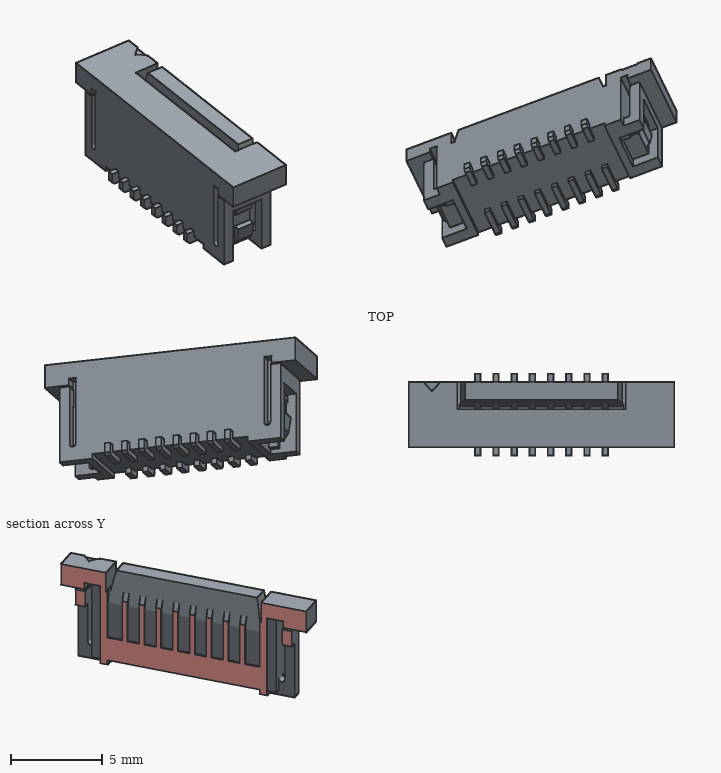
import cadquery as cq
import math

head_length = 14.6
body_depth = 3.59
top_z = 5.75
head_bottom_z = 4.44
core_bottom_z = 0.32
foot_bottom_z = 0.05
foot_inner_x = 4.53

arm_outer_x = 6.44
arm_back_y = 1.37
arm_top_z = 4.35
arm_slot_outer_x = 5.85
arm_slot_inner_x = 5.49
arm_slot_bottom_z = 0.86
notch_outer_x = 5.9
notch_top_z = 4.83

window_front_y = -1.18
window_back_y = 0.76
window_top_z = 3.37
pocket_back_y = 0.41
pocket_floor_x = 4.96

clip_clearance = 0.09
clip_front_y = window_front_y + clip_clearance
clip_back_y = pocket_back_y - clip_clearance
clip_face_x = 5.93
clip_bottom_z = 0.7
hook_front_y = -0.7
upper_hook_x = 6.12
upper_hook_z = (2.61, 2.82, 3.07, 3.33)
lower_hook_top_x = 6.29
lower_hook_nose_x = 6.16
lower_hook_top_z = 1.88
lower_hook_nose_z = 1.02

recess_half_length = 4.61
recess_front_y = 0.3
tongue_half_length = 4.44
tongue_chamfer = 0.25
tongue_slope = 4.7
tongue_front_y = 0.44
tongue_lead_in = 0.4
cable_slot_half_length = 4.53
cable_slot_floor_z = 1.75

contact_count = 8
contact_row_length = 7.0
contact_pitch = contact_row_length / (contact_count - 1)
contact_width = 0.32
feet_span = 4.5
foot_height = 0.7
foot_chamfer = 0.16
front_foot_inner_y = -0.61
back_foot_inner_y = 1.2
tip_reach = 0.28
tip_slope = 2.0

mark_x = -6.02
mark_half_width = 0.47
mark_length = 0.51
mark_depth = 0.09

half_depth = body_depth / 2
recess_floor_z = top_z - tongue_slope * tongue_chamfer
lead_in_back_y = tongue_front_y + tongue_lead_in


def block(x_range, y_range, z_range):
    """Box between the given limits along X, Y and Z."""
    lows, highs = zip(x_range, y_range, z_range)
    sizes = [high - low for low, high in zip(lows, highs)]
    return cq.Workplane("XY").box(*sizes, centered=False).translate(lows)


def centred_block(half_length, y_range, z_range):
    return block((-half_length, half_length), y_range, z_range)


def extrude_along_x(yz_points, x_start, x_end):
    return cq.Workplane("YZ").polyline(yz_points).close().extrude(x_end - x_start).translate((x_start, 0, 0))


def extrude_along_y(xz_points, y_start, y_end):
    return cq.Workplane("XZ").polyline(xz_points).close().extrude(y_start - y_end).translate((0, y_start, 0))


def both_ends(left_shape):
    return left_shape.union(left_shape.mirror("YZ"))


def make_housing():
    full_depth = (-half_depth, half_depth)
    arm_depth = (-half_depth, arm_back_y)
    head = centred_block(head_length / 2, full_depth, (head_bottom_z, top_z))
    core = centred_block(arm_slot_inner_x, full_depth, (core_bottom_z, top_z))
    foot = block((-arm_slot_inner_x, -foot_inner_x), full_depth, (foot_bottom_z, core_bottom_z))
    arm = block((-arm_outer_x, -arm_slot_inner_x), arm_depth, (foot_bottom_z, arm_top_z))
    return head.union(core).union(both_ends(foot.union(arm)))


def make_end_cuts():
    """Slot, head notch, arm window and clip pocket at both ends."""
    full_depth = (-half_depth, half_depth)
    slot_radius = (arm_slot_outer_x - arm_slot_inner_x) / 2
    slot_round_z = arm_slot_bottom_z + slot_radius
    slot = block((-arm_slot_outer_x, -arm_slot_inner_x), full_depth, (slot_round_z, notch_top_z))
    slot_round = (
        cq.Workplane("XZ", origin=(-arm_slot_inner_x - slot_radius, half_depth, slot_round_z))
        .circle(slot_radius)
        .extrude(body_depth)
    )
    notch = block((-notch_outer_x, -arm_slot_inner_x), full_depth, (arm_top_z, notch_top_z))

    window_depth = (window_front_y, window_back_y)
    pocket_depth = (window_front_y, pocket_back_y)
    window = block((-arm_outer_x, -arm_slot_inner_x), window_depth, (foot_bottom_z, window_top_z))
    foot_gap = block((-arm_slot_inner_x, -pocket_floor_x), window_depth, (foot_bottom_z, core_bottom_z))
    pocket = block((-arm_slot_inner_x, -pocket_floor_x), pocket_depth, (foot_bottom_z, notch_top_z))
    cuts = slot.union(slot_round).union(notch).union(window).union(foot_gap).union(pocket)
    return both_ends(cuts)


def make_clips():
    plate = block(
        (-clip_face_x, -pocket_floor_x), (clip_front_y, clip_back_y), (clip_bottom_z, notch_top_z)
    )
    low, nose_low, nose_high, high = upper_hook_z
    upper_hook = extrude_along_y(
        [
            (-arm_slot_inner_x, low),
            (-clip_face_x, low),
            (-upper_hook_x, nose_low),
            (-upper_hook_x, nose_high),
            (-clip_face_x, high),
            (-arm_slot_inner_x, high),
        ],
        hook_front_y,
        clip_back_y,
    )
    lower_hook = extrude_along_y(
        [
            (-arm_slot_inner_x, clip_bottom_z),
            (-clip_face_x, clip_bottom_z),
            (-lower_hook_nose_x, lower_hook_nose_z),
            (-lower_hook_top_x, lower_hook_top_z),
            (-arm_slot_inner_x, lower_hook_top_z),
        ],
        hook_front_y,
        clip_back_y,
    )
    return both_ends(plate.union(upper_hook).union(lower_hook))


def make_recess():
    return centred_block(recess_half_length, (recess_front_y, half_depth), (recess_floor_z, top_z))


def make_tongue():
    """Tongue with chamfered ends; the cable slot gives it its sloped front."""
    return extrude_along_y(
        [
            (-tongue_half_length, recess_floor_z),
            (-tongue_half_length + tongue_chamfer, top_z),
            (tongue_half_length - tongue_chamfer, top_z),
            (tongue_half_length, recess_floor_z),
        ],
        tongue_front_y,
        half_depth,
    )


def make_cable_slot():
    """Slot with an upright front wall and a lead-in slope at its back."""
    return extrude_along_x(
        [
            (recess_front_y, cable_slot_floor_z),
            (recess_front_y, top_z),
            (lead_in_back_y, top_z),
            (tongue_front_y, top_z - tongue_slope * tongue_lead_in),
            (tongue_front_y, cable_slot_floor_z),
        ],
        -cable_slot_half_length,
        cable_slot_half_length,
    )


def make_foot(inner_y, outer_y):
    """Solder foot about X = 0, chamfered along the lower edge of its outer end."""
    chamfer_start_y = outer_y - math.copysign(foot_chamfer, outer_y)
    outline = [
        (inner_y, 0),
        (chamfer_start_y, 0),
        (outer_y, foot_chamfer),
        (outer_y, foot_height),
        (inner_y, foot_height),
    ]
    return extrude_along_x(outline, -contact_width / 2, contact_width / 2)


def make_contact():
    """Two solder feet, and a tip that slopes down from the tongue's lead-in to the slot's front wall."""
    front_foot = make_foot(front_foot_inner_y, -feet_span / 2)
    back_foot = make_foot(back_foot_inner_y, feet_span / 2)
    tip_back_y = recess_front_y + tip_reach
    tip_top_z = top_z - tongue_slope * (lead_in_back_y - tip_back_y)
    tip = extrude_along_x(
        [
            (recess_front_y, cable_slot_floor_z),
            (recess_front_y, tip_top_z - tip_slope * tip_reach),
            (tip_back_y, tip_top_z),
            (tip_back_y, cable_slot_floor_z),
        ],
        -contact_width / 2,
        contact_width / 2,
    )
    return front_foot.union(back_foot).union(tip)


def make_mark():
    return (
        cq.Workplane("XY", origin=(mark_x, half_depth, top_z - mark_depth))
        .polyline([(-mark_half_width, 0), (mark_half_width, 0), (0, -mark_length)])
        .close()
        .extrude(mark_depth)
    )


result = make_housing().cut(make_recess()).union(make_tongue()).cut(make_cable_slot())
result = result.cut(make_end_cuts()).union(make_clips()).cut(make_mark())

contact = make_contact()
for index in range(contact_count):
    contact_x = index * contact_pitch - contact_row_length / 2
    result = result.union(contact.translate((contact_x, 0, 0)))